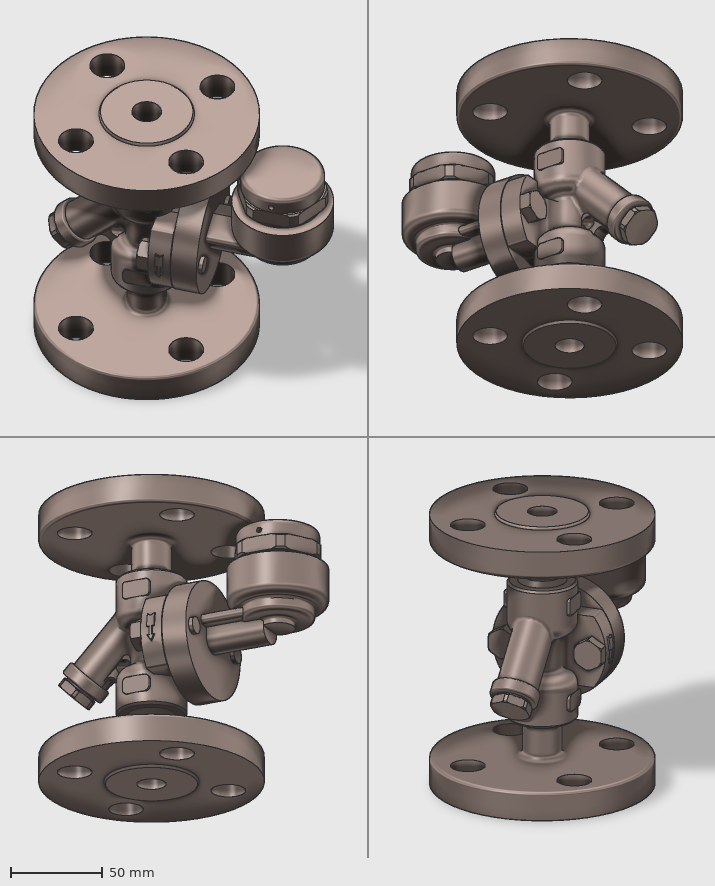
import cadquery as cq
import math

total_height = 160.0
flange_dia = 124.0
flange_thickness = 16.2
flange_edge_radius = 2.0
face_dia = 50.8
face_base_dia = 52.4
face_height = 1.6
bolt_circle_dia = 88.9
bolt_hole_dia = 19.0
bolt_hole_count = 4
bore_dia = 16.1
bore_depth = 30.0
neck_dia = 21.7
neck_fillet = 4.0

body_dia = 39.0
body_half_height = 40.0
body_chamfer = 1.3
weld_height = 3.0
weld_base_dia = 27.0
waist_dia = 23.0
upper_shoulder_z = 17.1
lower_shoulder_z = -20.6
shoulder_radius = 8.0
waist_fillet = 5.0

pad_length = 16.3
pad_height = 9.9
upper_pad_z = 28.5
upper_pad_corner_radius = 2.0
lower_pad_z = -27.7
lower_pad_corner_radius = 3.0

branch_angle = 45.0
branch_origin_z = 27.0
branch_dia = 23.0
branch_fillet = 3.5
web_hollow_radius = 4.2
web_hollow_x = -15.1
web_hollow_z = -9.6
web_inner_x = -9.0
web_inner_top_z = 3.0
web_foot_z = -18.0
web_arch_x = -23.0
web_arch_z = -14.5
web_tip_x = -27.0
web_tip_z = -16.0
collar_dia = 27.0
collar_start = 53.3
collar_end = 60.8
collar_edge_radius = 1.2
plug_groove_dia = 19.0
plug_start = 62.2
plug_end = 67.5
plug_flats = 21.0
plug_corner_dia = 23.1
plug_chamfer = 0.6

side_axis_z = -2.1
side_flange_dia = 67.0
side_flange_start = 23.2
side_flange_end = 37.8
plate_start = 10.1
plate_end = 22.8
plate_height = 41.3
plate_edge_radius = 2.0
spigot_dia = 45.5
spigot_axis_z = (upper_shoulder_z + lower_shoulder_z) / 2
block_fillet = 5.0
bolt_offset_y = 25.4
bolt_flats = 16.0
bolt_head_height = 6.6
bolt_head_chamfer = 0.8
bolt_shank_dia = 9.5
bolt_end_x = 40.2

arrow_x = 16.5
arrow_relief = 1.0
arrow_top_z = 6.3
arrow_notch_z = 5.0
arrow_tail_bottom_z = -1.5
arrow_head_z = -6.4
arrow_tip_z = -9.9
arrow_wide_half = 2.2
arrow_narrow_half = 0.8

rib_radius = 3.0
rib_offset_y = 12.0
rib_z = 6.0
arm_top_z = 13.4
tube_radius = 8.2
tube_axis_z = -1.8
tube_end_x = 72.8

trap_dia = 56.0
trap_right_x = 105.61
trap_x = trap_right_x - trap_dia / 2
trap_nub_dia = 19.0
trap_nub_bottom_z = -2.0
trap_nub_fillet = 2.0
trap_step_dia = 40.8
trap_step_bottom_z = 2.0
trap_step_radius = 3.0
trap_step_fillet = 1.6
trap_bottom_z = 10.0
trap_bottom_radius = 5.0
trap_top_z = 32.9
trap_groove_dia = 44.0
trap_nut_bottom_z = 35.8
trap_nut_top_z = 44.8
trap_nut_corner_dia = 50.6
trap_nut_chamfer = 1.1
trap_cap_dia = 46.1
trap_cap_top_z = 54.4
trap_cap_radius = 3.0
trap_hole_dia = 3.0
trap_hole_depth = 3.0
trap_hole_z = 48.2


def cylinder_x(radius, start_x, end_x, y=0.0, z=0.0):
    """Cylinder with its axis along X."""
    return cq.Workplane("YZ", origin=(start_x, y, z)).circle(radius).extrude(end_x - start_x)


def across_corners(flats):
    """Corner-to-corner size of a hexagon with the given distance across its flats."""
    return flats / math.cos(math.radians(30))


def rounded_hex(plane, flats, corner_dia, height, chamfer):
    """Hexagonal prism whose corners are turned down to a chamfered cylinder."""
    prism = cq.Workplane(plane).polygon(6, across_corners(flats)).extrude(height)
    turned = cq.Workplane(plane).circle(corner_dia / 2).extrude(height).edges().chamfer(chamfer)
    return prism.intersect(turned)


def upper_pipe_end():
    """Upper flange with raised face, bolt holes and the neck below it."""
    top_z = total_height / 2
    back_z = top_z - face_height - flange_thickness
    flange_r = flange_dia / 2
    neck_r = neck_dia / 2
    edge_shift = flange_edge_radius * (1 - math.sin(math.radians(45)))
    fillet_shift = neck_fillet * (1 - math.sin(math.radians(45)))
    weld_top_z = body_half_height + weld_height
    end = (
        cq.Workplane("XZ")
        .moveTo(0, body_half_height)
        .lineTo(weld_base_dia / 2, body_half_height)
        .lineTo(neck_r, weld_top_z)
        .lineTo(neck_r, back_z - neck_fillet)
        .threePointArc(
            (neck_r + fillet_shift, back_z - fillet_shift),
            (neck_r + neck_fillet, back_z),
        )
        .lineTo(flange_r - flange_edge_radius, back_z)
        .threePointArc(
            (flange_r - edge_shift, back_z + edge_shift),
            (flange_r, back_z + flange_edge_radius),
        )
        .lineTo(flange_r, top_z - face_height)
        .lineTo(face_base_dia / 2, top_z - face_height)
        .lineTo(face_dia / 2, top_z)
        .lineTo(0, top_z)
        .close()
        .revolve(360, (0, 0, 0), (0, 1, 0))
    )
    holes = (
        cq.Workplane("XY", origin=(0, 0, back_z))
        .polarArray(bolt_circle_dia / 2, 45, 360, bolt_hole_count)
        .circle(bolt_hole_dia / 2)
        .extrude(flange_thickness)
    )
    bore = cq.Workplane("XY", origin=(0, 0, top_z)).circle(bore_dia / 2).extrude(-bore_depth)
    return end.cut(holes).cut(bore)


def body_core():
    """Turned body: two sockets blending into a narrow waist."""
    body_r = body_dia / 2
    waist_r = waist_dia / 2
    shoulder_x = body_r - shoulder_radius
    blend_x = waist_r + waist_fillet
    blend_sum = shoulder_radius + waist_fillet
    blend_rise = math.sqrt(blend_sum**2 - (blend_x - shoulder_x) ** 2)
    blend_angle = math.atan2(blend_rise, blend_x - shoulder_x)
    half_angle = blend_angle / 2

    def shoulder_point(center_z, side, angle):
        return (
            shoulder_x + shoulder_radius * math.cos(angle),
            center_z + side * shoulder_radius * math.sin(angle),
        )

    def fillet_point(center_z, side, angle):
        return (
            blend_x - waist_fillet * math.cos(angle),
            center_z + side * (blend_rise - waist_fillet * math.sin(angle)),
        )

    low = lower_shoulder_z
    high = upper_shoulder_z
    return (
        cq.Workplane("XZ")
        .moveTo(0, -body_half_height)
        .lineTo(body_r - body_chamfer, -body_half_height)
        .lineTo(body_r, -body_half_height + body_chamfer)
        .lineTo(body_r, low)
        .threePointArc(shoulder_point(low, 1, half_angle), shoulder_point(low, 1, blend_angle))
        .threePointArc(fillet_point(low, 1, half_angle), fillet_point(low, 1, 0))
        .lineTo(*fillet_point(high, -1, 0))
        .threePointArc(fillet_point(high, -1, half_angle), fillet_point(high, -1, blend_angle))
        .threePointArc(shoulder_point(high, -1, half_angle), (body_r, high))
        .lineTo(body_r, body_half_height - body_chamfer)
        .lineTo(body_r - body_chamfer, body_half_height)
        .lineTo(0, body_half_height)
        .close()
        .revolve(360, (0, 0, 0), (0, 1, 0))
    )


def branch_plane(distance):
    """Plane across the strainer axis at a distance from the pipe axis; its local X is along Y."""
    angle = math.radians(branch_angle)
    direction = (-math.sin(angle), 0, -math.cos(angle))
    origin = (distance * direction[0], 0, branch_origin_z + distance * direction[2])
    return cq.Plane(origin=origin, xDir=(0, 1, 0), normal=direction)


def branch_cylinder(dia, start, end):
    """Cylinder on the strainer axis between two distances from the pipe axis."""
    return cq.Workplane(branch_plane(start)).circle(dia / 2).extrude(end - start)


def body_with_branch():
    """Body joined to the strainer tube with a fillet around the joint."""
    joined = body_core().union(branch_cylinder(branch_dia, 0, collar_end))
    body_r = body_dia / 2
    branch_r = branch_dia / 2
    joint_zone = cq.selectors.BoxSelector(
        (-body_r, -body_r, 0),
        (-branch_r * math.sin(math.radians(branch_angle)), body_r, branch_origin_z),
    )
    return joined.edges(joint_zone).fillet(branch_fillet)


def branch_web():
    """Web filling the gap between waist, strainer tube and lower socket, hollowed on both sides."""
    hollow_reach = waist_dia / 2 + web_hollow_radius
    hollow_y = math.sqrt(hollow_reach**2 - web_hollow_x**2)
    web = (
        cq.Workplane("XZ")
        .moveTo(web_inner_x, web_foot_z)
        .lineTo(-body_dia / 2, web_foot_z)
        .threePointArc((web_arch_x, web_arch_z), (web_tip_x, web_tip_z))
        .lineTo(web_inner_x, web_inner_top_z)
        .close()
        .extrude(hollow_y, both=True)
    )
    for side in (-1, 1):
        ball = cq.Workplane("XY").sphere(web_hollow_radius)
        web = web.cut(ball.translate((web_hollow_x, side * hollow_y, web_hollow_z)))
    return web


def strainer_cap():
    """Collar and hexagonal plug at the end of the strainer tube."""
    collar = branch_cylinder(collar_dia, collar_start, collar_end).edges().fillet(collar_edge_radius)
    groove = branch_cylinder(plug_groove_dia, collar_end, plug_start)
    plane = branch_plane(plug_start).rotated((0, 0, 90))
    plug = rounded_hex(plane, plug_flats, plug_corner_dia, plug_end - plug_start, plug_chamfer)
    return collar.union(groove).union(plug)


def label_pads():
    """Flat rounded pads on the -Y and +Y sides of both sockets."""
    pads = cq.Workplane("XY")
    for center_z, corner_radius in (
        (upper_pad_z, upper_pad_corner_radius),
        (lower_pad_z, lower_pad_corner_radius),
    ):
        pad = (
            cq.Workplane("XY")
            .box(pad_length, body_dia, pad_height)
            .edges("|Y")
            .fillet(corner_radius)
        )
        pads = pads.union(pad.translate((0, 0, center_z)))
    return pads


def side_block():
    """Block leading from the waist to the side plate, flaring out at the plate."""
    waist_r = waist_dia / 2
    flare_x = plate_start - block_fillet
    flare_y = waist_r + block_fillet
    flare_shift = block_fillet * math.sin(math.radians(45))
    arc_x = flare_x + flare_shift
    arc_y = flare_y - flare_shift
    return (
        cq.Workplane("XY", origin=(0, 0, lower_shoulder_z))
        .moveTo(0, -waist_r)
        .lineTo(flare_x, -waist_r)
        .threePointArc((arc_x, -arc_y), (plate_start, -flare_y))
        .lineTo(plate_start, flare_y)
        .threePointArc((arc_x, arc_y), (flare_x, waist_r))
        .lineTo(0, waist_r)
        .close()
        .extrude(upper_shoulder_z - lower_shoulder_z)
    )


def side_flange():
    """Clipped round plate, the spigot behind it and the full round flange."""
    flange_r = side_flange_dia / 2
    plate_length = plate_end - plate_start
    clip = cq.Workplane("XY").box(plate_length, side_flange_dia, plate_height)
    clip = clip.translate(((plate_start + plate_end) / 2, 0, side_axis_z))
    plate = cylinder_x(flange_r, plate_start, plate_end, z=side_axis_z)
    plate = plate.intersect(clip).edges("|X").fillet(plate_edge_radius)
    spigot = cylinder_x(spigot_dia / 2, plate_start, side_flange_start, z=spigot_axis_z)
    flange = cylinder_x(flange_r, side_flange_start, side_flange_end, z=side_axis_z)
    return plate.union(spigot).union(flange)


def side_bolts():
    """Two bolts: hexagonal heads on the side plate, shank ends past the side flange."""
    bolts = cq.Workplane("XY")
    corner_dia = across_corners(bolt_flats)
    for side in (-1, 1):
        plane = cq.Plane(
            origin=(plate_start, side * bolt_offset_y, side_axis_z),
            xDir=(0, 0, 1),
            normal=(-1, 0, 0),
        )
        prism = cq.Workplane(plane).polygon(6, corner_dia).extrude(bolt_head_height)
        turned = cq.Workplane(plane).circle(corner_dia / 2).extrude(bolt_head_height)
        turned = turned.faces("<X").edges().chamfer(bolt_head_chamfer)
        shank_y = side * bolt_offset_y
        shank = cylinder_x(bolt_shank_dia / 2, plate_start, bolt_end_x, shank_y, side_axis_z)
        bolts = bolts.union(prism.intersect(turned)).union(shank)
    return bolts


def flow_arrow():
    """Raised arrow on the -Y edge of the side plate, pointing down."""
    plate_r = side_flange_dia / 2
    half_outline = [
        (arrow_wide_half, arrow_top_z),
        (arrow_wide_half, arrow_tail_bottom_z),
        (arrow_narrow_half, arrow_tail_bottom_z),
        (arrow_narrow_half, arrow_head_z),
        (arrow_wide_half, arrow_head_z),
    ]
    right_side = [(arrow_x + x, z) for x, z in half_outline]
    left_side = [(arrow_x - x, z) for x, z in reversed(half_outline)]
    outline = [(arrow_x, arrow_notch_z)] + right_side + [(arrow_x, arrow_tip_z)] + left_side
    prism = cq.Workplane("XZ").polyline(outline).close().extrude(plate_r + arrow_relief)
    shell = cylinder_x(plate_r + arrow_relief, plate_start, plate_end, z=side_axis_z)
    core = cylinder_x(plate_r - arrow_relief, plate_start, plate_end, z=side_axis_z)
    return prism.intersect(shell.cut(core))


def trap_arm():
    """Arm from the side flange to the trap: roofed slab with round edges over a tube."""
    start_x = side_flange_end
    apex_rise = arm_top_z - rib_z
    apex_distance = math.hypot(rib_offset_y, apex_rise)
    apex_angle = math.atan2(apex_rise, -rib_offset_y)
    tangent_angle = apex_angle - math.acos(rib_radius / apex_distance)
    tangent_y = rib_offset_y + rib_radius * math.cos(tangent_angle)
    tangent_z = rib_z + rib_radius * math.sin(tangent_angle)
    slab = (
        cq.Workplane("YZ", origin=(start_x, 0, 0))
        .moveTo(0, arm_top_z)
        .lineTo(tangent_y, tangent_z)
        .threePointArc((rib_offset_y + rib_radius, rib_z), (rib_offset_y, rib_z - rib_radius))
        .lineTo(-rib_offset_y, rib_z - rib_radius)
        .threePointArc((-rib_offset_y - rib_radius, rib_z), (-tangent_y, tangent_z))
        .close()
        .extrude(trap_x - start_x)
    )
    tube = cylinder_x(tube_radius, start_x, tube_end_x, z=tube_axis_z)
    wall_height = rib_z - tube_axis_z
    walls = cq.Workplane("XY").box(tube_end_x - start_x, 2 * tube_radius, wall_height)
    walls = walls.translate(((start_x + tube_end_x) / 2, 0, tube_axis_z + wall_height / 2))
    return slab.union(tube).union(walls)


def trap_disc(dia, bottom_z, top_z):
    """Disc on the trap axis."""
    return (
        cq.Workplane("XY", origin=(trap_x, 0, bottom_z)).circle(dia / 2).extrude(top_z - bottom_z)
    )


def fillet_inner_corner(shape, corner_z, radius):
    """Fillet the smallest circular edge of the trap at the given height."""
    reach = trap_dia
    margin = 0.1
    level = cq.selectors.BoxSelector(
        (trap_x - reach, -reach, corner_z - margin),
        (trap_x + reach, reach, corner_z + margin),
    )
    circles = shape.edges(level).edges("%CIRCLE")
    return circles.edges(cq.selectors.RadiusNthSelector(0)).fillet(radius)


def steam_trap():
    """Trap capsule: nub, step, round body, hexagonal nut and cap with a pin hole."""
    body = trap_disc(trap_dia, trap_bottom_z, trap_top_z).faces("<Z").edges().fillet(trap_bottom_radius)
    step = trap_disc(trap_step_dia, trap_step_bottom_z, trap_bottom_z)
    step = step.faces("<Z").edges().fillet(trap_step_radius)
    nub = trap_disc(trap_nub_dia, trap_nub_bottom_z, trap_step_bottom_z)
    trap = fillet_inner_corner(body.union(step), trap_bottom_z, trap_step_fillet)
    trap = fillet_inner_corner(trap.union(nub), trap_step_bottom_z, trap_nub_fillet)
    nut_plane = cq.Plane(origin=(trap_x, 0, trap_nut_bottom_z))
    nut = rounded_hex(
        nut_plane,
        trap_cap_dia,
        trap_nut_corner_dia,
        trap_nut_top_z - trap_nut_bottom_z,
        trap_nut_chamfer,
    )
    cap = trap_disc(trap_cap_dia, trap_nut_top_z, trap_cap_top_z)
    cap = cap.faces(">Z").edges().fillet(trap_cap_radius)
    groove = trap_disc(trap_groove_dia, trap_top_z, trap_nut_bottom_z)
    hole = (
        cq.Workplane("XZ", origin=(trap_x, -trap_cap_dia / 2, trap_hole_z))
        .circle(trap_hole_dia / 2)
        .extrude(-trap_hole_depth)
    )
    return trap.union(groove).union(nut).union(cap).cut(hole)


upper_end = upper_pipe_end()
result = (
    body_with_branch()
    .union(upper_end)
    .union(upper_end.mirror("XY"))
    .union(branch_web())
    .union(strainer_cap())
    .union(label_pads())
    .union(side_block())
    .union(side_flange())
    .union(side_bolts())
    .union(flow_arrow())
    .union(trap_arm())
    .union(steam_trap())
)